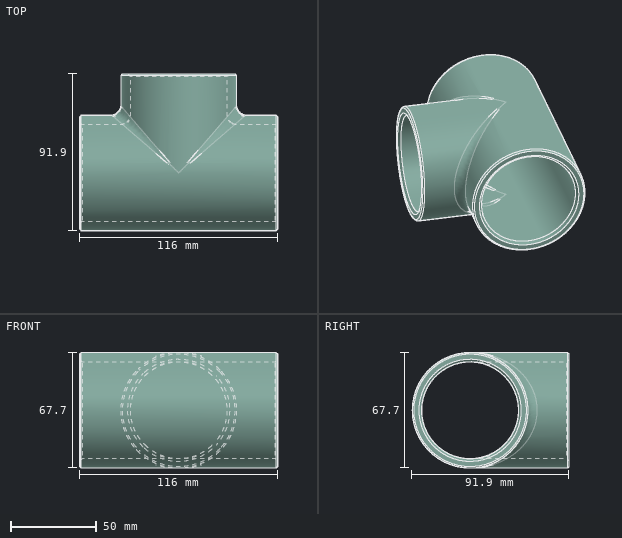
import cadquery as cq
import math

run_length = 116.0
outer_diameter = 67.7
bore_diameter = 56.6
end_chamfer = 0.9
bore_chamfer = 1.6
crotch_radius = 5.8
bore_crotch_radius = 5.8

reach = run_length / 2
outer_radius = outer_diameter / 2
bore_radius = bore_diameter / 2
mouth_radius = bore_radius + bore_chamfer

blend_end_angle = 80.0
blend_step_count = 14
blend_sink_ratio = 0.0005
blend_root_ratio = 0.9


def revolve_about_arm(profile, direction):
    """Revolve an axial profile of (radius, distance) points about an arm axis."""
    side = cq.Vector(0, -1, 0) if direction[0] else cq.Vector(1, 0, 0)
    plane = cq.Plane((0, 0, 0), xDir=side, normal=side.cross(cq.Vector(direction)))
    return cq.Workplane(plane).polyline(profile).close().revolve(360, (0, 0), (0, 1))


def pipe_body(direction, start):
    """Solid round bar from a start distance to the open end of an arm."""
    return revolve_about_arm([(0, start), (outer_radius, start), (outer_radius, reach), (0, reach)], direction)


def arm_bore(direction):
    """Plain bore from the centre, chamfered at the open end."""
    return revolve_about_arm(
        [
            (0, 0),
            (bore_radius, 0),
            (bore_radius, reach - bore_chamfer),
            (mouth_radius, reach),
            (0, reach),
        ],
        direction,
    )


def blend_section(pipe_radius, mid_radius, angle):
    """Concave triangle in the corner between two equal cylinders at one height."""
    half_width = pipe_radius * math.cos(angle)
    height = pipe_radius * math.sin(angle)
    radius = mid_radius * math.cos(angle)
    far = half_width + radius
    middle = far - radius * math.sqrt(0.5)
    sunk = (1 - blend_sink_ratio) * half_width
    root = blend_root_ratio * half_width
    on_run = cq.Vector(far, sunk, height)
    arc_middle = cq.Vector(middle, middle, height)
    on_branch = cq.Vector(sunk, far, height)
    corner = cq.Vector(root, root, height)
    return cq.Wire.assembleEdges([
        cq.Edge.makeThreePointArc(on_run, arc_middle, on_branch),
        cq.Edge.makeLine(on_branch, corner),
        cq.Edge.makeLine(corner, on_run),
    ])


def crotch_blend(pipe_radius, mid_radius):
    """Blend in the +X crotch, its radius shrinking with the half width of the cylinders."""
    angles = [
        math.radians(blend_end_angle * (2 * step / blend_step_count - 1))
        for step in range(blend_step_count + 1)
    ]
    sections = [blend_section(pipe_radius, mid_radius, angle) for angle in angles]
    return cq.Workplane(cq.Solid.makeLoft(sections))


run = pipe_body((1, 0, 0), -reach).faces("<X or >X").chamfer(end_chamfer)
branch = pipe_body((0, 1, 0), 0).faces(">Y").chamfer(end_chamfer)
tee = run.union(branch)

right_blend = crotch_blend(outer_radius, crotch_radius)
tee = tee.union(right_blend).union(right_blend.mirror("YZ"))

for arm_direction in [(1, 0, 0), (-1, 0, 0), (0, 1, 0)]:
    tee = tee.cut(arm_bore(arm_direction))

right_rounding = crotch_blend(bore_radius, bore_crotch_radius)
tee = tee.cut(right_rounding).cut(right_rounding.mirror("YZ"))

result = tee